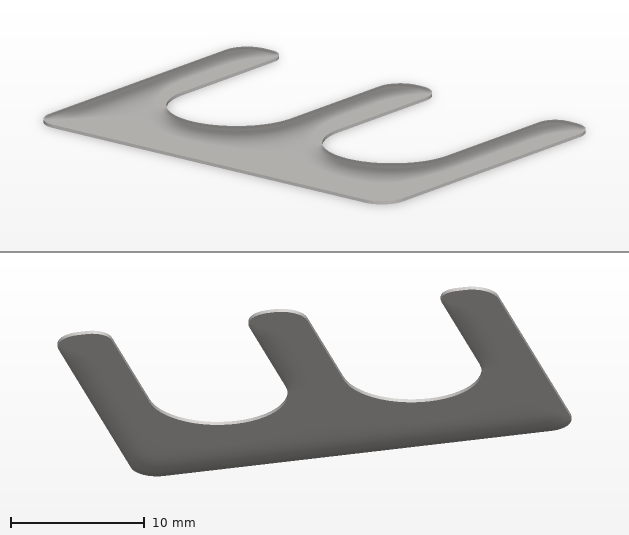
import cadquery as cq

length = 34.0
depth = 25.0
thickness = 0.25
corner_radius = 2.0

slot_width = 10.5
slot_spacing = 15.0
web_depth = 7.25

side_tip_radius = 1.5
middle_tip_radius = 2.0

slot_radius = slot_width / 2
slot_center_y = web_depth + slot_radius - depth / 2
slot_offset = slot_spacing / 2


def slot_cutter(center_x):
    """Round-bottomed slot that runs out through the +Y edge."""
    straight_length = depth / 2 - slot_center_y
    round_end = cq.Workplane("XY").center(center_x, slot_center_y).circle(slot_radius).extrude(thickness)
    straight = (
        cq.Workplane("XY")
        .center(center_x, slot_center_y + straight_length / 2)
        .rect(slot_width, straight_length)
        .extrude(thickness)
    )
    return round_end.union(straight)


def round_tip_edges(body, distance_from_center, radius):
    """Round the two +Y vertical edges at equal distances either side of the center."""
    for x in (-distance_from_center, distance_from_center):
        tip_edge = cq.selectors.NearestToPointSelector((x, depth / 2, thickness / 2))
        body = body.edges("|Z").edges(tip_edge).fillet(radius)
    return body


plate = cq.Workplane("XY").rect(length, depth).extrude(thickness).edges("|Z").fillet(corner_radius)
for slot_x in (-slot_offset, slot_offset):
    plate = plate.cut(slot_cutter(slot_x))

plate = round_tip_edges(plate, slot_offset + slot_radius, side_tip_radius)
result = round_tip_edges(plate, slot_offset - slot_radius, middle_tip_radius)